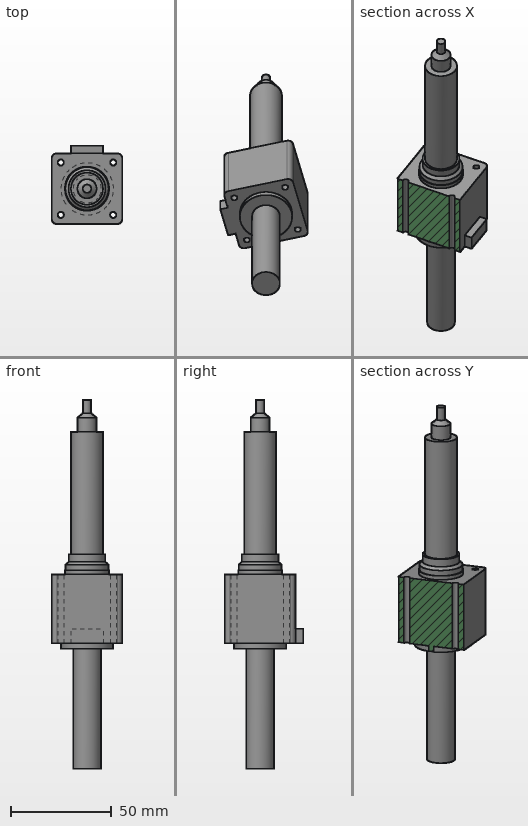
import cadquery as cq

TOTAL_HEIGHT = 183.0

LOWER_TUBE_DIAMETER = 14.0
LOWER_TUBE_LENGTH = 59.5
FLANGE_DIAMETER = 26.0
FLANGE_THICKNESS = 2.7

BLOCK_WIDTH = 35.1
BLOCK_HEIGHT = 34.2
CORNER_RADIUS = 2.5
HOLE_DIAMETER = 3.0
HOLE_SPACING = 26.0

CONNECTOR_WIDTH = 16.1
CONNECTOR_DEPTH = 3.8
CONNECTOR_HEIGHT = 7.3

BASE_RING_DIAMETER = 22.0
BASE_RING_HEIGHT = 2.0
COLLAR_DIAMETER = 21.5
COLLAR_HEIGHT = 2.7
COLLAR_TAPER_HEIGHT = 1.5
NECK_DIAMETER = 18.3
NECK_HEIGHT = 3.8

UPPER_TUBE_DIAMETER = 16.0
NOSE_DIAMETER = 9.5
NOSE_HEIGHT = 7.1
CONE_HEIGHT = 2.2
TIP_DIAMETER = 4.2
TIP_HEIGHT = 6.5

BLOCK_BOTTOM = LOWER_TUBE_LENGTH + FLANGE_THICKNESS
BLOCK_TOP = BLOCK_BOTTOM + BLOCK_HEIGHT
COLLAR_BOTTOM = BLOCK_TOP + BASE_RING_HEIGHT
TAPER_BOTTOM = COLLAR_BOTTOM + COLLAR_HEIGHT
NECK_BOTTOM = TAPER_BOTTOM + COLLAR_TAPER_HEIGHT
UPPER_TUBE_BOTTOM = NECK_BOTTOM + NECK_HEIGHT
UPPER_TUBE_TOP = TOTAL_HEIGHT - TIP_HEIGHT - CONE_HEIGHT - NOSE_HEIGHT
CONE_BOTTOM = UPPER_TUBE_TOP + NOSE_HEIGHT
CONE_TOP = CONE_BOTTOM + CONE_HEIGHT


def cylinder(diameter, bottom, top):
    """Solid cylinder on the Z axis between two levels."""
    return cq.Workplane("XY").workplane(offset=bottom).circle(diameter / 2).extrude(top - bottom)


def cone(bottom_diameter, top_diameter, bottom, top):
    """Truncated cone on the Z axis between two levels."""
    solid = cq.Solid.makeCone(
        bottom_diameter / 2, top_diameter / 2, top - bottom, pnt=cq.Vector(0, 0, bottom)
    )
    return cq.Workplane(obj=solid)


def make_block():
    """Square motor block with rounded upright edges and four through holes."""
    return (
        cq.Workplane("XY")
        .workplane(offset=BLOCK_BOTTOM)
        .rect(BLOCK_WIDTH, BLOCK_WIDTH)
        .extrude(BLOCK_HEIGHT)
        .edges("|Z")
        .fillet(CORNER_RADIUS)
        .faces(">Z")
        .workplane()
        .rect(HOLE_SPACING, HOLE_SPACING, forConstruction=True)
        .vertices()
        .hole(HOLE_DIAMETER)
    )


def make_connector():
    """Connector box on the +Y face, flush with the underside of the block."""
    return cq.Workplane("XY").box(
        CONNECTOR_WIDTH, CONNECTOR_DEPTH, CONNECTOR_HEIGHT, centered=(True, False, False)
    ).translate((0, BLOCK_WIDTH / 2, BLOCK_BOTTOM))


def make_collar():
    """Base ring, tapered collar and neck between the block and the upper tube."""
    return (
        cylinder(BASE_RING_DIAMETER, BLOCK_TOP, COLLAR_BOTTOM)
        .union(cylinder(COLLAR_DIAMETER, COLLAR_BOTTOM, TAPER_BOTTOM))
        .union(cone(COLLAR_DIAMETER, NECK_DIAMETER, TAPER_BOTTOM, NECK_BOTTOM))
        .union(cylinder(NECK_DIAMETER, NECK_BOTTOM, UPPER_TUBE_BOTTOM))
    )


def make_housing():
    """Motor block with its connector, flange, collar and both tubes."""
    return (
        make_block()
        .union(make_connector())
        .union(cylinder(FLANGE_DIAMETER, LOWER_TUBE_LENGTH, BLOCK_BOTTOM))
        .union(cylinder(LOWER_TUBE_DIAMETER, 0, LOWER_TUBE_LENGTH))
        .union(make_collar())
        .union(cylinder(UPPER_TUBE_DIAMETER, UPPER_TUBE_BOTTOM, UPPER_TUBE_TOP))
    )


def make_spindle():
    """Spindle end: nose, cone and slim tip, seated on top of the upper tube."""
    return (
        cylinder(NOSE_DIAMETER, UPPER_TUBE_TOP, CONE_BOTTOM)
        .union(cone(NOSE_DIAMETER, TIP_DIAMETER, CONE_BOTTOM, CONE_TOP))
        .union(cylinder(TIP_DIAMETER, CONE_TOP, TOTAL_HEIGHT))
    )


housing = make_housing()
spindle = make_spindle()
result = cq.Compound.makeCompound([housing.val(), spindle.val()])